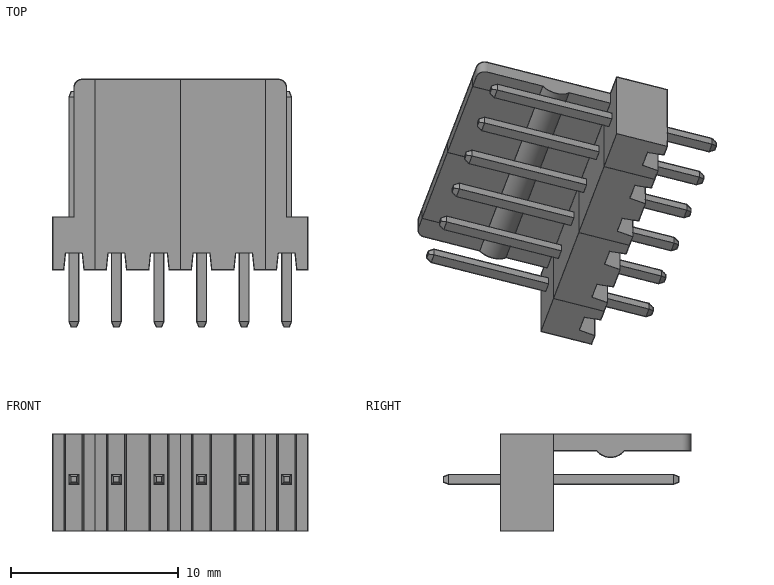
import cadquery as cq
import math


row_length = 15.24
middle_count = 2
middle_pins = 2
end_count = 2
pin_count = end_count + middle_count * middle_pins
pitch = row_length / pin_count

block_depth = 3.17
block_height = 5.8

plate_length = 8.21
plate_thickness = 1.0
plate_corner_radius = 0.52
end_plate_width = pitch / 2

ridge_radius = 1.05
ridge_drop = 0.4
ridge_y = 3.4

slot_depth = 1.0
slot_mouth_width = 1.2
slot_floor_width = 0.99

pin_width = 0.6
pin_tip_width = 0.32
pin_tip_length = 0.32
pin_front_reach = 3.41
pin_back_reach = 7.48
pin_z = 3.1

block_front = -block_depth


def make_block(width):
    return (
        cq.Workplane("XY")
        .box(width, block_depth, block_height, centered=(True, False, False))
        .translate((0, block_front, 0))
    )


def make_plate(x_start, x_end):
    """Plate with its locking ridge, as one profile extruded along X."""
    underside = block_height - plate_thickness
    ridge_half_chord = math.sqrt(ridge_radius**2 - (ridge_radius - ridge_drop) ** 2)
    return (
        cq.Workplane("YZ", origin=(x_start, 0, 0))
        .moveTo(0, block_height)
        .lineTo(plate_length, block_height)
        .lineTo(plate_length, underside)
        .lineTo(ridge_y + ridge_half_chord, underside)
        .threePointArc((ridge_y, underside - ridge_drop), (ridge_y - ridge_half_chord, underside))
        .lineTo(0, underside)
        .close()
        .extrude(x_end - x_start)
    )


def make_slot(x):
    return (
        cq.Workplane("XY")
        .polyline(
            [
                (x - slot_mouth_width / 2, block_front),
                (x + slot_mouth_width / 2, block_front),
                (x + slot_floor_width / 2, block_front + slot_depth),
                (x - slot_floor_width / 2, block_front + slot_depth),
            ]
        )
        .close()
        .extrude(block_height)
    )


def make_pin_tip(x, base_y, direction):
    """Tapered pin end that starts at base_y and points along +Y (1) or -Y (-1)."""
    base = cq.Plane(origin=(x, base_y, pin_z), xDir=(1, 0, 0), normal=(0, direction, 0))
    return (
        cq.Workplane(base)
        .rect(pin_width, pin_width)
        .workplane(offset=pin_tip_length)
        .rect(pin_tip_width, pin_tip_width)
        .loft(ruled=True)
    )


def make_pin(x):
    shank_front = block_front - pin_front_reach + pin_tip_length
    shank_back = pin_back_reach - pin_tip_length
    shank = (
        cq.Workplane("XY")
        .box(pin_width, shank_back - shank_front, pin_width, centered=(True, False, True))
        .translate((x, shank_front, pin_z))
    )
    return shank.union(make_pin_tip(x, shank_front, -1)).union(make_pin_tip(x, shank_back, 1))


def make_middle_module():
    """Two-pin module centred on X = 0."""
    width = middle_pins * pitch
    module = make_block(width).union(make_plate(-width / 2, width / 2))
    pin_places = [(i - (middle_pins - 1) / 2) * pitch for i in range(middle_pins)]
    for x in pin_places:
        module = module.cut(make_slot(x)).union(make_pin(x))
    return module


def make_left_end_module():
    """One-pin module centred on X = 0, with the plate on its inner (+X) half."""
    plate = make_plate(pitch / 2 - end_plate_width, pitch / 2)
    plate = plate.edges("|Z").edges(">Y").edges("<X").fillet(plate_corner_radius)
    return make_block(pitch).union(plate).cut(make_slot(0)).union(make_pin(0))


end_x = (row_length - pitch) / 2
left_end_module = make_left_end_module().translate((-end_x, 0, 0))
end_modules = [left_end_module, left_end_module.mirror("YZ")]

middle_modules = []
for i in range(middle_count):
    middle_x = (i - (middle_count - 1) / 2) * middle_pins * pitch
    middle_modules.append(make_middle_module().translate((middle_x, 0, 0)))

result = cq.Compound.makeCompound([module.val() for module in end_modules + middle_modules])